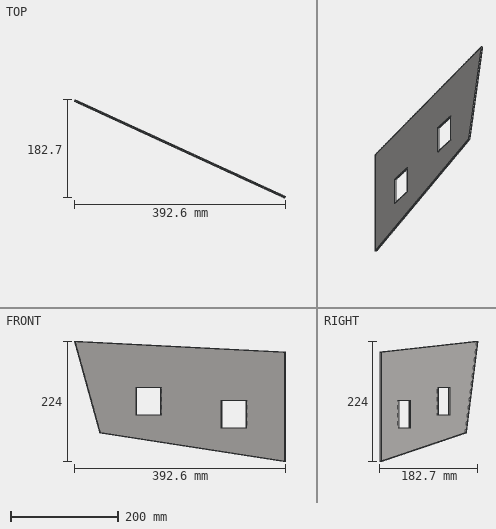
import cadquery as cq

plate_length = 430.8
plate_thickness = 3.0
turn_angle = 24.7

left_top_height = 224.0
right_top_height = 203.8
left_bottom_height = 53.5
left_bottom_inset = 52.0

window_size = 51.0
window_corners = [(125.5, 86.8), (300.8, 62.5)]


def make_plate():
    """Four-sided plate standing on XZ, with its front face at Y = 0."""
    outline = [
        (0, left_top_height),
        (left_bottom_inset, left_bottom_height),
        (plate_length, 0),
        (plate_length, right_top_height),
    ]
    return cq.Workplane("XZ").polyline(outline).close().extrude(-plate_thickness)


def make_windows():
    """Square prisms through the full plate thickness."""
    centers = [(along + window_size / 2, height + window_size / 2) for along, height in window_corners]
    return (
        cq.Workplane("XZ")
        .pushPoints(centers)
        .rect(window_size, window_size)
        .extrude(-plate_thickness)
    )


flat_plate = make_plate().cut(make_windows())
result = flat_plate.rotate((0, 0, 0), (0, 0, 1), -turn_angle)